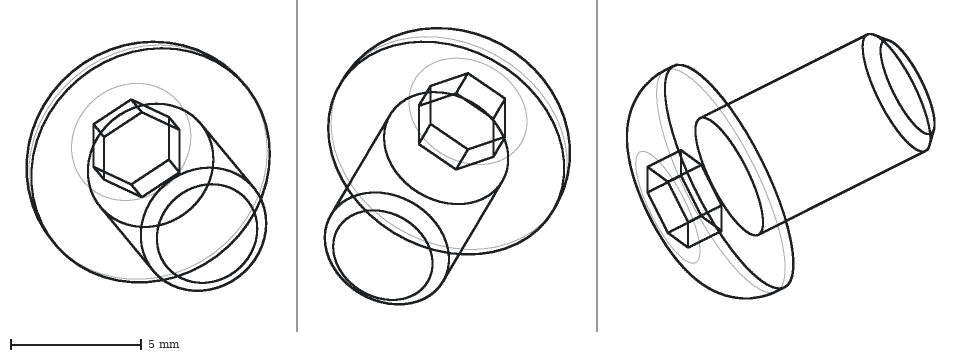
import cadquery as cq

head_diameter = 9.5
head_height = 2.75
shank_diameter = 5.0
shank_length = 8.0
tip_chamfer = 0.5
hex_across_flats = 3.0
hex_depth = 1.5

head_radius = head_diameter / 2
shank_radius = shank_diameter / 2
dome_radius = head_radius / 2
hex_sides = 6


def make_head():
    """Disc with a large round on its outer face, leaving a thin straight rim."""
    disc = cq.Workplane("YZ").circle(head_radius).extrude(-head_height)
    return disc.faces("<X").edges().fillet(dome_radius)


def make_shank():
    """Plain cylinder with a chamfered tip."""
    cylinder = cq.Workplane("YZ").circle(shank_radius).extrude(shank_length)
    return cylinder.faces(">X").edges().chamfer(tip_chamfer)


def make_hex_socket():
    """Hexagonal prism whose flats face +Y and -Y and whose corners point along Z."""
    return (
        cq.Workplane("YZ", origin=(-head_height, 0, 0))
        .polygon(hex_sides, hex_across_flats, circumscribed=True)
        .extrude(hex_depth)
    )


result = make_head().union(make_shank()).cut(make_hex_socket())